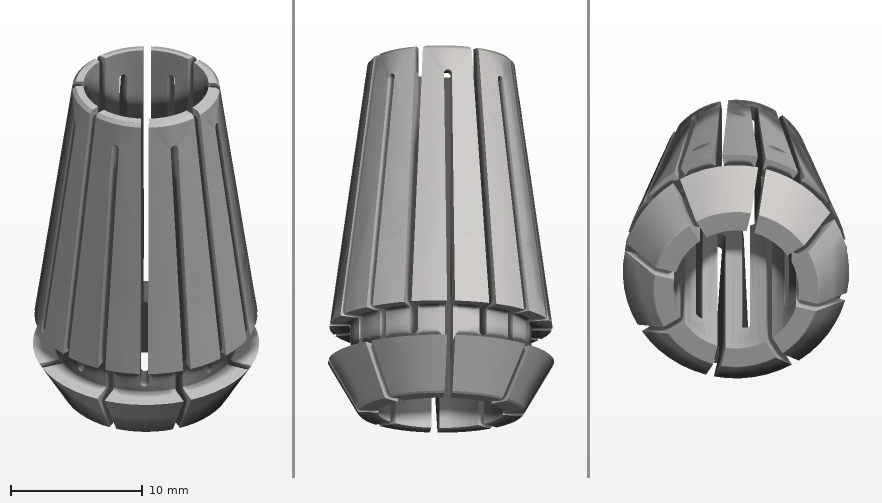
import cadquery as cq
import math

total_height = 27.5
bore_diameter = 9.55

collar_diameter = 17.25
collar_height = 4.0
collar_angle = 30.0
rim_chamfer = 0.15

neck_diameter = 13.8
neck_fillet = 0.2

taper_start = 6.7
taper_diameter = 17.0
taper_angle = 8.0
top_chamfer = 0.28

slot_count = 8
slot_pitch = 360.0 / slot_count
slot_width = 0.6
lower_slot_top = 25.5
upper_slot_bottom = 4.56


def collet_blank():
    """Revolve the bored collar, neck and taper."""
    bore_radius = bore_diameter / 2
    collar_radius = collar_diameter / 2
    neck_radius = neck_diameter / 2
    taper_radius = taper_diameter / 2

    collar_slope = math.tan(math.radians(collar_angle))
    rim_side_radius = collar_radius - (collar_height - rim_chamfer) * collar_slope
    rim_bottom_radius = rim_side_radius - rim_chamfer

    taper_slope = math.tan(math.radians(taper_angle))
    chamfer_start = total_height - top_chamfer
    chamfer_radius = taper_radius - (chamfer_start - taper_start) * taper_slope

    ledge_radius = neck_radius + neck_fillet
    fillet_mid_radius = ledge_radius - neck_fillet * math.sqrt(0.5)
    fillet_mid_offset = neck_fillet - neck_fillet * math.sqrt(0.5)

    profile = (
        cq.Workplane("XZ")
        .moveTo(bore_radius, 0)
        .lineTo(rim_bottom_radius, 0)
        .lineTo(rim_side_radius, rim_chamfer)
        .lineTo(collar_radius, collar_height)
        .lineTo(ledge_radius, collar_height)
        .threePointArc(
            (fillet_mid_radius, collar_height + fillet_mid_offset),
            (neck_radius, collar_height + neck_fillet),
        )
        .lineTo(neck_radius, taper_start - neck_fillet)
        .threePointArc(
            (fillet_mid_radius, taper_start - fillet_mid_offset),
            (ledge_radius, taper_start),
        )
        .lineTo(taper_radius, taper_start)
        .lineTo(chamfer_radius, chamfer_start)
        .lineTo(chamfer_radius - top_chamfer, total_height)
        .lineTo(bore_radius, total_height)
        .close()
    )
    return profile.revolve(360, (0, 0), (0, 1))


def slot_cutter(open_end, round_end, angle):
    """Radial blade through one wall, with a half-round closed end inside the part."""
    half_width = slot_width / 2
    toward_open = math.copysign(1, open_end - round_end)
    arc_start = round_end + toward_open * half_width
    return (
        cq.Workplane("YZ")
        .moveTo(-half_width, open_end)
        .lineTo(-half_width, arc_start)
        .threePointArc((0, round_end), (half_width, arc_start))
        .lineTo(half_width, open_end)
        .close()
        .extrude(collar_diameter)
        .rotate((0, 0, 0), (0, 0, 1), angle)
    )


result = collet_blank()
for index in range(slot_count):
    lower_angle = index * slot_pitch
    upper_angle = lower_angle + slot_pitch / 2
    result = result.cut(slot_cutter(0, lower_slot_top, lower_angle))
    result = result.cut(slot_cutter(total_height, upper_slot_bottom, upper_angle))